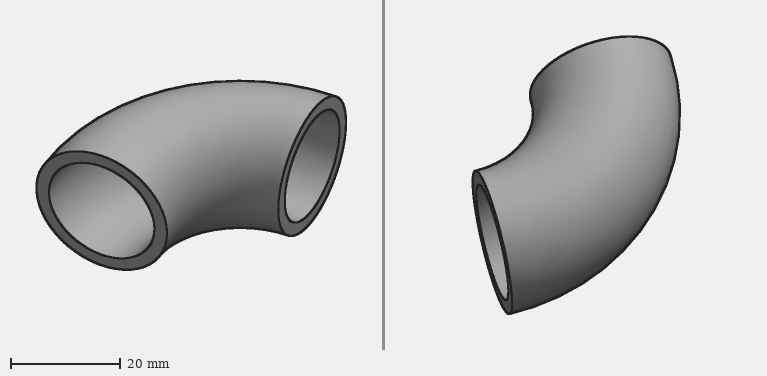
import cadquery as cq

outer_diameter = 26.9
wall_thickness = 2.6
bend_radius = 28.5
bend_angle = 90.0

inner_diameter = outer_diameter - 2 * wall_thickness


def make_elbow():
    """Sweep the pipe's ring section from the -Y end face round to the +X end face."""
    ring = (
        cq.Workplane("XZ")
        .center(-bend_radius, 0)
        .circle(outer_diameter / 2)
        .circle(inner_diameter / 2)
    )
    axis_start = (bend_radius, 0)
    axis_end = (bend_radius, -1)
    return ring.revolve(bend_angle, axis_start, axis_end)


result = make_elbow()